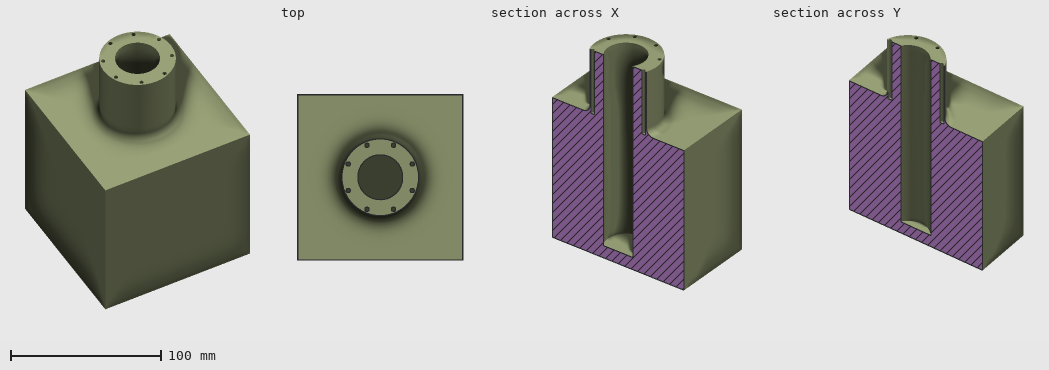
import cadquery as cq

total_height = 160.0
block_side = 110.0
neck_diameter = 51.0
neck_fillet = 5.0
bore_diameter = 30.0
bore_floor = 10.0
bolt_hole_count = 8
bolt_hole_diameter = 2.9
bolt_circle_diameter = 46.0

neck_height = total_height - block_side
bore_depth = total_height - bore_floor
bolt_hole_depth = neck_height
bolt_start_angle = 180 / bolt_hole_count


def make_body():
    """Cubic block, base on Z = 0, with a round neck blended into its top face."""
    block = cq.Workplane("XY").box(block_side, block_side, block_side, centered=(True, True, False))
    neck = cq.Workplane("XY").workplane(offset=block_side).circle(neck_diameter / 2).extrude(neck_height)
    body = block.union(neck)
    neck_root = body.faces("<Z[-2]").edges("%CIRCLE")
    return neck_root.fillet(neck_fillet)


def cut_bore(body):
    """Blind central bore through the neck, stopping just above the block's base."""
    return body.faces(">Z").workplane(origin=(0, 0, 0)).hole(bore_diameter, bore_depth)


def cut_bolt_holes(body):
    """Ring of small blind holes running the length of the neck."""
    return (
        body.faces(">Z")
        .workplane(origin=(0, 0, 0))
        .polarArray(bolt_circle_diameter / 2, bolt_start_angle, 360, bolt_hole_count)
        .circle(bolt_hole_diameter / 2)
        .cutBlind(-bolt_hole_depth)
    )


result = cut_bolt_holes(cut_bore(make_body()))